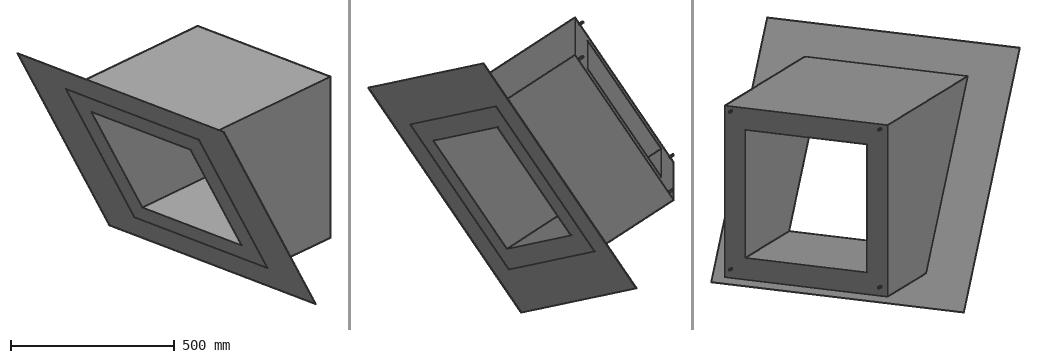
import cadquery as cq
import math

plate_side = 845.0
plate_thickness = 2.0
plate_tilt = 30.0
overall_depth = 674.0

body_side = 545.0
opening_side = 406.5

pin_diameter = 6.0
pin_length = 14.0
pin_spacing = 498.5
pin_top_margin = 14.0
pin_bottom_margin = 29.5

tilt = math.radians(plate_tilt)
half_plate_rise = plate_side / 2 * math.cos(tilt)
half_plate_run = plate_side / 2 * math.sin(tilt)
thickness_run = plate_thickness * math.cos(tilt)
thickness_rise = plate_thickness * math.sin(tilt)

front_center_y = half_plate_run - overall_depth
body_back_y = -pin_length


def front_y(z):
    """Y of the sloping front face at height z."""
    return front_center_y - z * math.tan(tilt)


def extrude_side_profile(points, width):
    """Extrude a closed (Y, Z) outline symmetrically along X."""
    return cq.Workplane("YZ").polyline(points).close().extrude(width / 2, both=True)


top_front = (front_center_y - half_plate_run, half_plate_rise)
bottom_front = (front_center_y + half_plate_run, -half_plate_rise)
top_back = (top_front[0] + thickness_run, top_front[1] - thickness_rise)
bottom_back = (bottom_front[0] + thickness_run, bottom_front[1] - thickness_rise)
plate = extrude_side_profile([top_front, bottom_front, bottom_back, top_back], plate_side)

half_body = body_side / 2
body = extrude_side_profile(
    [
        (body_back_y, half_body),
        (front_y(half_body), half_body),
        (front_y(-half_body), -half_body),
        (body_back_y, -half_body),
    ],
    body_side,
)

opening = cq.Workplane("XY").box(opening_side, 2 * overall_depth, opening_side)

pin_centers = [
    (x, z)
    for x in (-pin_spacing / 2, pin_spacing / 2)
    for z in (half_body - pin_top_margin, pin_bottom_margin - half_body)
]
pins = (
    cq.Workplane("XZ", origin=(0, body_back_y, 0))
    .pushPoints(pin_centers)
    .circle(pin_diameter / 2)
    .extrude(-pin_length)
)

result = plate.union(body).cut(opening).union(pins)